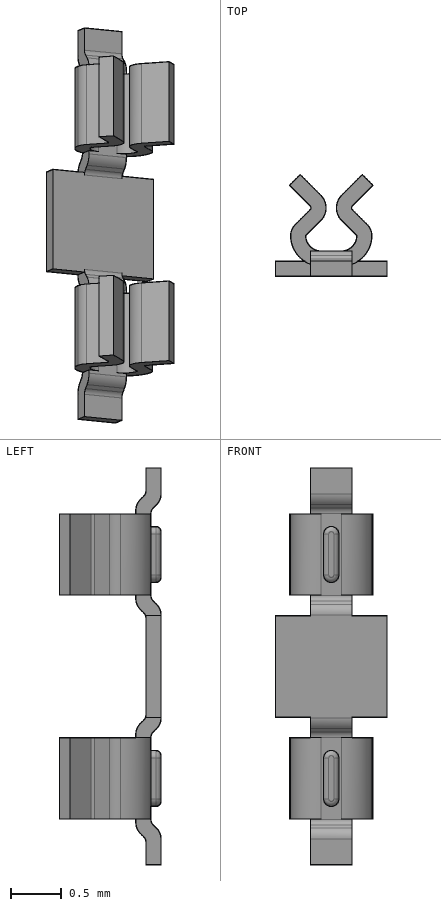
import cadquery as cq
import math

THICKNESS = 0.15
OVERALL_LENGTH = 3.9
OVERALL_DEPTH = 1.0

PAD_WIDTH = 1.1
PAD_LENGTH = 1.0

STRIP_WIDTH = 0.41
STEP = 0.1
FIRST_BEND_OFFSET = 0.033
INNER_BEND_RADIUS = 0.075
OUTER_BEND_RADIUS = 0.15

CLIP_START = 0.7
CLIP_LENGTH = 0.8
CLIP_END = CLIP_START + CLIP_LENGTH
CLIP_MIDDLE = CLIP_START + CLIP_LENGTH / 2
CLIP_FLAT_HALF = 0.1
CLIP_INNER_RADIUS = 0.15
CLIP_OUTER_RADIUS = CLIP_INNER_RADIUS + THICKNESS
THROAT_HALF = 0.05
THROAT_INNER_RADIUS = 0.025

BEAD_WIDTH = 0.15
BEAD_LENGTH = 0.55
BEAD_FILLET = 0.05
BEAD_OVERLAP = 0.02

BEND_ANGLE = 45
BEND_COS = math.cos(math.radians(BEND_ANGLE))


def on_circle(center, radius, degrees):
    """Point on a circle at the given angle from +X."""
    angle = math.radians(degrees)
    return (center[0] + radius * math.cos(angle), center[1] + radius * math.sin(angle))


def arc_points(center, radius, start, end):
    """Middle and end points of the arc that runs between two angles."""
    return on_circle(center, radius, (start + end) / 2), on_circle(center, radius, end)


def center_pad():
    return cq.Workplane("XY").box(PAD_WIDTH, THICKNESS, PAD_LENGTH).translate((0, THICKNESS / 2, 0))


def half_clip():
    """Half of the clip on the +X side: base, quarter turn, shoulder, throat bend and flared lip."""
    turn = (CLIP_FLAT_HALF, STEP + CLIP_OUTER_RADIUS)
    shoulder = (turn[0] + CLIP_INNER_RADIUS, turn[1])

    throat_outer_radius = THROAT_INNER_RADIUS + THICKNESS
    throat_x = THROAT_HALF + throat_outer_radius
    arm_offset = (THICKNESS + THROAT_INNER_RADIUS) / BEND_COS
    throat = (throat_x, shoulder[0] + shoulder[1] + arm_offset - throat_x)
    throat_low = 180 + BEND_ANGLE
    throat_high = 180 - BEND_ANGLE

    lip_start = on_circle(throat, throat_outer_radius, throat_high)
    lip_rise = OVERALL_DEPTH - lip_start[1]
    lip_tip = (lip_start[0] + lip_rise, OVERALL_DEPTH)
    lip_corner = (lip_tip[0] + THICKNESS * BEND_COS, lip_tip[1] - THICKNESS * BEND_COS)

    profile = (
        cq.Workplane("XY", origin=(0, 0, CLIP_START))
        .moveTo(0, STEP)
        .lineTo(turn[0], STEP)
        .threePointArc(*arc_points(turn, CLIP_OUTER_RADIUS, -90, 0))
        .threePointArc(*arc_points(shoulder, THICKNESS, 0, BEND_ANGLE))
        .lineTo(*on_circle(throat, THROAT_INNER_RADIUS, throat_low))
        .threePointArc(*arc_points(throat, THROAT_INNER_RADIUS, throat_low, throat_high))
        .lineTo(*lip_corner)
        .lineTo(*lip_tip)
        .lineTo(*lip_start)
        .threePointArc(*arc_points(throat, throat_outer_radius, throat_high, throat_low))
        .lineTo(*shoulder)
        .threePointArc(*arc_points(turn, CLIP_INNER_RADIUS, 0, -90))
        .lineTo(0, STEP + THICKNESS)
        .close()
    )
    return profile.extrude(CLIP_LENGTH)


def clip():
    half = half_clip()
    return half.union(half.mirror("YZ"))


def bead():
    """Rounded slot-shaped bump reaching from inside the clip base down to Y = 0."""
    bump = (
        cq.Workplane("XZ", origin=(0, STEP + BEAD_OVERLAP, CLIP_MIDDLE))
        .slot2D(BEAD_LENGTH, BEAD_WIDTH, 90)
        .extrude(STEP + BEAD_OVERLAP)
    )
    return bump.faces("<Y").edges().fillet(BEAD_FILLET)


def round_corners(strip, corners, radius):
    """Fillet the X-direction edges of the strip that pass through the given (Y, Z) corners."""
    for y, z in corners:
        edge = cq.selectors.NearestToPointSelector((0, y, z))
        strip = strip.edges("|X").edges(edge).fillet(radius)
    return strip


def stepped_strip(clip_edge, far_end):
    """Strip from a clip edge down to the pad level, bent twice by 45 degrees, ending at far_end."""
    away = math.copysign(1, far_end - clip_edge)
    bend_setback = math.tan(math.radians(BEND_ANGLE / 2))

    front_upper = clip_edge + away * FIRST_BEND_OFFSET
    front_lower = front_upper + away * STEP
    back_shift = away * THICKNESS * bend_setback
    back_upper = front_upper + back_shift
    back_lower = front_lower + back_shift

    strip = (
        cq.Workplane("YZ", origin=(-STRIP_WIDTH / 2, 0, 0))
        .moveTo(STEP, clip_edge)
        .lineTo(STEP, front_upper)
        .lineTo(0, front_lower)
        .lineTo(0, far_end)
        .lineTo(THICKNESS, far_end)
        .lineTo(THICKNESS, back_lower)
        .lineTo(STEP + THICKNESS, back_upper)
        .lineTo(STEP + THICKNESS, clip_edge)
        .close()
        .extrude(STRIP_WIDTH)
    )
    outer_corners = [(0, front_lower), (STEP + THICKNESS, back_upper)]
    inner_corners = [(STEP, front_upper), (THICKNESS, back_lower)]
    strip = round_corners(strip, outer_corners, OUTER_BEND_RADIUS)
    return round_corners(strip, inner_corners, INNER_BEND_RADIUS)


def spring_arm():
    """Everything beyond the pad on the +Z side."""
    end_tab = stepped_strip(CLIP_END, OVERALL_LENGTH / 2)
    link = stepped_strip(CLIP_START, 0)
    return clip().union(bead()).union(end_tab).union(link)


arm = spring_arm()
result = center_pad().union(arm).union(arm.mirror("XY"))